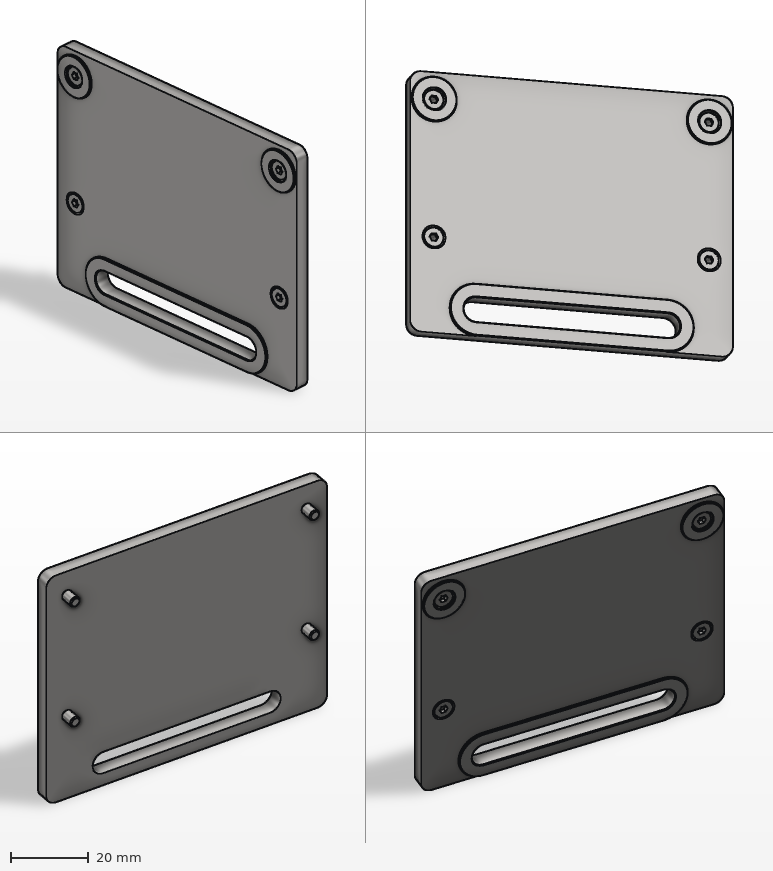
import cadquery as cq
import math


plate_length = 86.0
plate_height = 70.0
plate_thickness = 3.95
corner_radius = 3.0

pad_height = 0.6
pad_chamfer = 0.3
round_pad_diameter = 12.0

slot_border_length = 65.0
slot_border_height = 14.0
slot_height = 6.5
slot_length = slot_border_length - slot_border_height + slot_height
slot_z = (slot_border_height - plate_height) / 2

screw_side_margin = 6.4
screw_top_margin = 7.3
screw_row_spacing = 37.0
screw_x = plate_length / 2 - screw_side_margin
upper_row_z = plate_height / 2 - screw_top_margin
lower_row_z = upper_row_z - screw_row_spacing
upper_row = [(-screw_x, upper_row_z), (screw_x, upper_row_z)]
lower_row = [(-screw_x, lower_row_z), (screw_x, lower_row_z)]

shank_diameter = 3.0
tip_protrusion = 4.0
screw_length = plate_thickness + tip_protrusion
tip_chamfer = 0.35
head_diameter = 5.2
countersink_diameter = 6.2
shank_radius = shank_diameter / 2
head_radius = head_diameter / 2
countersink_radius = countersink_diameter / 2

countersink_depth = countersink_radius - shank_radius
head_rim_depth = countersink_radius - head_radius

hex_across_flats = 2.0
hex_depth = 1.1
hex_across_corners = hex_across_flats / math.cos(math.pi / 6)
floor_slope = math.radians(30)
socket_cone_depth = hex_across_corners / 2 * math.tan(floor_slope)


def front_plane(y):
    """XZ sketch plane at the given y, facing the front, so extrusions go towards -Y."""
    return cq.Workplane(cq.Plane(origin=(0, y, 0), xDir=(1, 0, 0), normal=(0, -1, 0)))


def revolve_about_y(profile_points):
    """Solid of revolution about the Y axis from (radius, y) points."""
    outline = [(y, radius) for radius, y in profile_points]
    return cq.Workplane("YZ").polyline(outline).close().revolve(360, (0, 0, 0), (1, 0, 0))


def make_round_pad(x, z):
    pad = front_plane(0).center(x, z).circle(round_pad_diameter / 2).extrude(pad_height)
    return pad.faces("<Y").edges().chamfer(pad_chamfer)


def make_slot_border():
    border = front_plane(0).center(0, slot_z).slot2D(slot_border_length, slot_border_height)
    return border.extrude(pad_height).faces("<Y").edges().chamfer(pad_chamfer)


def make_slot_cutter():
    """Through slot, flared at its front end by the chamfer of the border."""
    slot = front_plane(plate_thickness).center(0, slot_z).slot2D(slot_length, slot_height)
    slot = slot.extrude(plate_thickness + pad_height)
    flare = (
        front_plane(-pad_height)
        .center(0, slot_z)
        .slot2D(slot_length + 2 * pad_chamfer, slot_height + 2 * pad_chamfer)
        .extrude(-pad_chamfer, taper=45)
    )
    return slot.union(flare)


def make_screw_hole():
    """Countersunk through hole, with a straight clearance through the pad in front of it."""
    return revolve_about_y([
        (0, -pad_height),
        (countersink_radius, -pad_height),
        (countersink_radius, 0),
        (shank_radius, countersink_depth),
        (shank_radius, plate_thickness),
        (0, plate_thickness),
    ])


def make_plate():
    plate = front_plane(plate_thickness).rect(plate_length, plate_height).extrude(plate_thickness)
    plate = plate.edges("|Y").fillet(corner_radius)
    for x, z in upper_row:
        plate = plate.union(make_round_pad(x, z))
    plate = plate.union(make_slot_border()).cut(make_slot_cutter())
    hole = make_screw_hole()
    for x, z in upper_row + lower_row:
        plate = plate.cut(hole.translate((x, 0, z)))
    return plate


def make_socket():
    hexagon = front_plane(hex_depth + socket_cone_depth).polygon(6, hex_across_corners)
    hexagon = hexagon.extrude(hex_depth + socket_cone_depth)
    drill = revolve_about_y([
        (0, 0),
        (hex_across_corners / 2, 0),
        (hex_across_corners / 2, hex_depth),
        (0, hex_depth + socket_cone_depth),
    ])
    return hexagon.intersect(drill)


def make_screw(x, z):
    screw = revolve_about_y([
        (0, 0),
        (head_radius, 0),
        (head_radius, head_rim_depth),
        (shank_radius, countersink_depth),
        (shank_radius, screw_length - tip_chamfer),
        (shank_radius - tip_chamfer, screw_length),
        (0, screw_length),
    ])
    return screw.cut(make_socket()).translate((x, 0, z))


plate = make_plate()
screws = [make_screw(x, z) for x, z in upper_row + lower_row]

result = cq.Compound.makeCompound([plate.val(), *[screw.val() for screw in screws]])